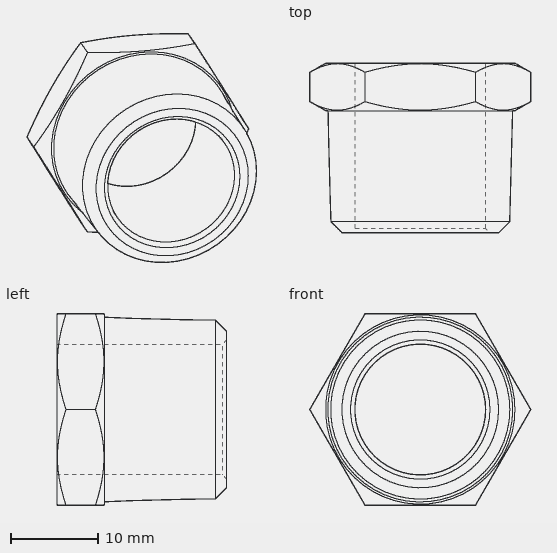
import cadquery as cq
import math

corner_width = 25.4
total_length = 19.5
hex_length = 5.49
hex_face_radius = 10.87
hex_chamfer_angle = math.radians(30)

spigot_root_radius = 10.62
spigot_tip_radius = 10.29
tip_chamfer = 1.3
bore_radius = 7.5
bore_chamfer = 0.5

spigot_length = total_length - hex_length
corner_radius = corner_width / 2


def revolve_profile(points):
    """Turn a closed (radius, Y) outline about the Y axis."""
    return cq.Workplane("XY").polyline(points).close().revolve(360, (0, 0, 0), (0, 1, 0))


def make_hex_head():
    """Hexagon with corners on X, both ends bevelled by a cone."""
    prism = (
        cq.Workplane("XZ", origin=(0, spigot_length, 0))
        .polygon(6, corner_width)
        .extrude(-hex_length)
    )
    bevel_drop = (corner_radius - hex_face_radius) * math.tan(hex_chamfer_angle)
    bevel_envelope = revolve_profile([
        (0, spigot_length),
        (hex_face_radius, spigot_length),
        (corner_radius, spigot_length + bevel_drop),
        (corner_radius, total_length - bevel_drop),
        (hex_face_radius, total_length),
        (0, total_length),
    ])
    return prism.intersect(bevel_envelope)


def make_spigot():
    """Slightly tapered round spigot with a chamfered tip."""
    return revolve_profile([
        (0, 0),
        (spigot_tip_radius - tip_chamfer, 0),
        (spigot_tip_radius, tip_chamfer),
        (spigot_root_radius, spigot_length),
        (0, spigot_length),
    ])


def make_bore():
    """Through bore, chamfered at the spigot tip."""
    return revolve_profile([
        (0, 0),
        (bore_radius + bore_chamfer, 0),
        (bore_radius, bore_chamfer),
        (bore_radius, total_length),
        (0, total_length),
    ])


result = make_hex_head().union(make_spigot()).cut(make_bore())